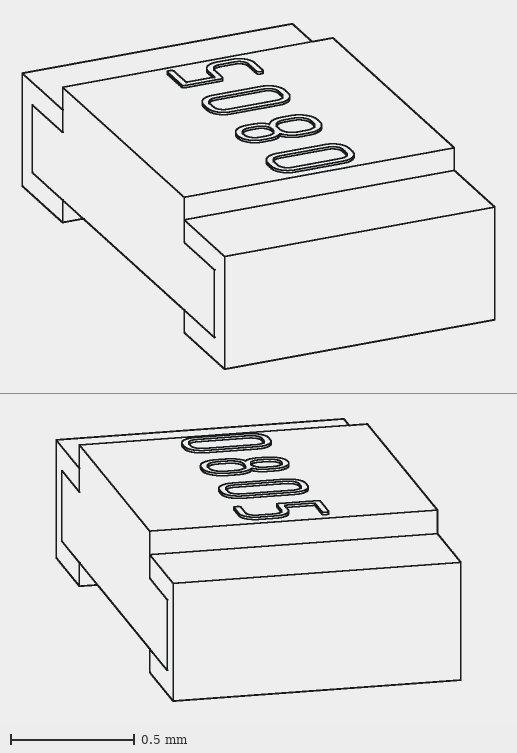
import cadquery as cq

length = 2.0
width = 1.2
terminal_length = 0.4
terminal_height = 0.5
plating = 0.1
core_top = 0.6

digit_relief = 0.01
digit_height = 0.36
digit_bottom = -0.16
stroke = 0.028
stroke_round = 0.01

zero_width = 0.18
zero_radius = 0.072
zero_centers = (-0.168, 0.465)

eight_center = 0.15
eight_upper_width = 0.188
bowl_height = 0.205
eight_upper_radius = 0.082
eight_lower_width = 0.158
eight_lower_radius = 0.075

five_left = -0.552
five_width = 0.16
bowl_radius = 0.068

core_length = length - 2 * plating
middle_length = length - 2 * terminal_length
tongue_height = terminal_height - 2 * plating
digit_top = digit_bottom + digit_height


def block(size_x, size_z, center_x, bottom_z):
    """Full-width block standing at the given height."""
    return cq.Workplane("XY").box(size_x, width, size_z, centered=(True, True, False)).translate(
        (center_x, 0, bottom_z)
    )


def make_core():
    """Ceramic core: a slab with a raised middle and a tongue at each end."""
    tongues = block(core_length, tongue_height, 0, plating)
    middle = block(middle_length, core_top - plating, 0, plating)
    return middle.union(tongues)


def make_terminal(side, core):
    """C-shaped end cap wrapped around one tongue of the core; side is -1 or 1."""
    center_x = side * (length - terminal_length) / 2
    return block(terminal_length, terminal_height, center_x, 0).cut(core)


def rounded_plate(left, bottom, size_x, size_y, radius):
    """Thin plate with rounded corners, lying on top of the core."""
    plate = cq.Workplane("XY").box(size_x, size_y, digit_relief, centered=False)
    return plate.edges("|Z").fillet(radius).translate((left, bottom, core_top))


def ring(left, bottom, size_x, size_y, radius):
    """Closed loop one stroke wide."""
    opening = rounded_plate(
        left + stroke, bottom + stroke, size_x - 2 * stroke, size_y - 2 * stroke, radius - stroke
    )
    return rounded_plate(left, bottom, size_x, size_y, radius).cut(opening)


def bar(left, bottom, size_x, size_y):
    """Straight stroke with slightly rounded corners."""
    return rounded_plate(left, bottom, size_x, size_y, stroke_round)


def make_zero(center_x):
    """Single tall loop."""
    return ring(center_x - zero_width / 2, digit_bottom, zero_width, digit_height, zero_radius)


def make_eight():
    """Two loops that share one stroke where they meet."""
    lower_height = digit_height - bowl_height + stroke
    upper = ring(
        eight_center - eight_upper_width / 2,
        digit_top - bowl_height,
        eight_upper_width,
        bowl_height,
        eight_upper_radius,
    )
    lower = ring(
        eight_center - eight_lower_width / 2,
        digit_bottom,
        eight_lower_width,
        lower_height,
        eight_lower_radius,
    )
    return upper.union(lower)


def make_five():
    """Mirror-imaged five: a bowl open to the right, a right-hand stem and a foot."""
    bowl_bottom = digit_top - bowl_height
    stem_left = five_left + five_width - stroke
    stem_height = digit_height - bowl_height + stroke
    bar_left = five_left + bowl_radius
    bar_length = five_width - bowl_radius

    loop = ring(five_left, bowl_bottom, five_width, bowl_height, bowl_radius)
    half_width = five_width / 2
    right_half = cq.Workplane("XY").box(
        half_width, bowl_height, digit_relief, centered=False
    ).translate((five_left + half_width, bowl_bottom, core_top))
    bowl = loop.cut(right_half)

    top_bar = bar(bar_left, digit_top - stroke, bar_length, stroke)
    middle_bar = bar(bar_left, bowl_bottom, bar_length, stroke)
    stem = bar(stem_left, digit_bottom, stroke, stem_height)
    foot = bar(five_left, digit_bottom, five_width, stroke)
    return bowl.union(top_bar).union(middle_bar).union(stem).union(foot)


core = make_core()
terminals = [make_terminal(side, core) for side in (-1, 1)]
zeros = [make_zero(center_x) for center_x in zero_centers]
eight = make_eight()
five = make_five()

result = cq.Compound.makeCompound(
    [body.val() for body in [core, *terminals, *zeros, eight, five]]
)